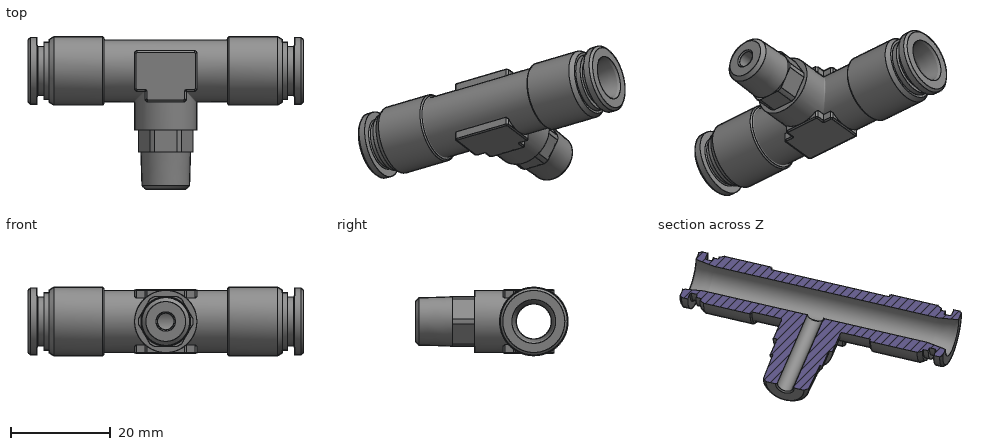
import cadquery as cq
import math

overall_length = 55.4
half_length = overall_length / 2
tube_radius = 6.25
socket_radius = 6.9
socket_inner_x = 12.4
socket_inner_chamfer = 0.3
socket_taper_start_x = 22.5
socket_outer_x = 23.45
socket_mouth_radius = 6.3
insert_radius = 5.8
insert_outer_x = 24.5

shoulder_fillet = 0.1
tee_fillet = 0.2

collar_radius = 6.73
collar_thickness = 1.8
collar_chamfer = 0.5
neck_radius = 4.95
neck_flare = 0.25

run_bore_radius = 3.5
entry_taper_radius = 4.15
entry_taper_depth = 4.1
bore_mouth_radius = 4.4
bore_mouth_chamfer = 0.5

branch_end_y = 11.9
hex_across_flats = 10.0
hex_corner_radius = 5.5
hex_end_y = 16.3
thread_root_radius = 5.0
thread_tip_radius = 4.8
thread_tip_chamfer = 0.75
nose_radius = 4.0
branch_length = 23.8
branch_bore_radius = 1.67
branch_mouth_radius = 1.95
branch_mouth_chamfer = 0.28

pad_half_height = 6.45
pad_half_width = 6.3
pad_half_depth = 4.1
stem_half_width = 4.15
stem_length = 6.2
pad_corner_chamfer = 0.4
pad_rim_width = 0.35
pad_rim_drop = 0.2


def turn_run(half_profile):
    """Revolve a (distance from centre, radius) profile, mirrored about the centre, around X."""
    mirrored = [(-x, radius) for x, radius in reversed(half_profile)]
    return cq.Workplane("XY").polyline(mirrored + half_profile).close().revolve(360, (0, 0), (1, 0))


def make_run():
    """Outer body of the run, from collar to collar."""
    collar_inner_x = half_length - collar_thickness
    return turn_run([
        (socket_inner_x, tube_radius),
        (socket_inner_x, socket_radius - socket_inner_chamfer),
        (socket_inner_x + socket_inner_chamfer, socket_radius),
        (socket_taper_start_x, socket_radius),
        (socket_outer_x, socket_mouth_radius),
        (socket_outer_x, insert_radius),
        (insert_outer_x, insert_radius),
        (insert_outer_x, neck_radius),
        (collar_inner_x - neck_flare, neck_radius),
        (collar_inner_x, neck_radius + neck_flare),
        (collar_inner_x, collar_radius),
        (half_length - collar_chamfer, collar_radius),
        (half_length, collar_radius - collar_chamfer),
        (half_length, 0),
    ])


def make_run_bore():
    """Bore through the run, tapering open at each end to take a hose."""
    return turn_run([
        (half_length - entry_taper_depth, run_bore_radius),
        (half_length - bore_mouth_chamfer, entry_taper_radius),
        (half_length, bore_mouth_radius),
        (half_length, 0),
    ])


def turn_about_y(profile):
    """Revolve a (radius, distance along -Y) profile about the branch axis."""
    points = [(radius, -distance) for radius, distance in profile]
    return cq.Workplane("XY").polyline(points).close().revolve(360, (0, 0), (0, 1))


def make_branch():
    """Plain barrel, turned-down hexagon and tapered thread."""
    barrel = turn_about_y([(0, 0), (tube_radius, 0), (tube_radius, branch_end_y), (0, branch_end_y)])
    thread = turn_about_y([
        (0, hex_end_y),
        (thread_root_radius, hex_end_y),
        (thread_tip_radius, branch_length - thread_tip_chamfer),
        (nose_radius, branch_length),
        (0, branch_length),
    ])
    hex_length = hex_end_y - branch_end_y
    hex_start = cq.Workplane("XZ", origin=(0, -branch_end_y, 0))
    across_corners = hex_across_flats / math.cos(math.pi / 6)
    hexagon = hex_start.polygon(6, across_corners).extrude(hex_length)
    hexagon = hexagon.intersect(hex_start.circle(hex_corner_radius).extrude(hex_length))
    return barrel.union(hexagon).union(thread)


def make_branch_bore():
    """Bore from the nose into the run bore, with a chamfered mouth."""
    return turn_about_y([
        (0, 0),
        (branch_bore_radius, 0),
        (branch_bore_radius, branch_length - branch_mouth_chamfer),
        (branch_mouth_radius, branch_length),
        (0, branch_length),
    ])


def make_pads():
    """T-shaped blocks standing proud of the tubes, with a shallow sloping rim."""
    wall_height = pad_half_height - pad_rim_drop
    rim_angle = math.degrees(math.atan2(pad_rim_width, pad_rim_drop))
    bar = (
        cq.Workplane("XY")
        .rect(2 * pad_half_width, 2 * pad_half_depth)
        .extrude(wall_height)
        .edges("|Z")
        .chamfer(pad_corner_chamfer)
    )
    stem = (
        cq.Workplane("XY")
        .rect(2 * stem_half_width, stem_length)
        .extrude(wall_height)
        .edges("|Z and <Y")
        .chamfer(pad_corner_chamfer)
        .translate((0, -stem_length / 2, 0))
    )
    pad = bar.union(stem).clean()
    rim = pad.faces(">Z").wires().toPending().workplane().extrude(pad_rim_drop, taper=rim_angle, combine=False)
    pad = pad.union(rim)
    return pad.union(pad.mirror("XY"))


def is_shoulder_root(edge):
    """True for the circles where the tube meets the socket shoulders."""
    at_shoulder = math.isclose(abs(edge.Center().x), socket_inner_x, abs_tol=1e-3)
    return at_shoulder and math.isclose(edge.radius(), tube_radius, abs_tol=1e-3)


def is_tee_joint(edge):
    """True for the curves where the branch barrel meets the tube, on the planes y = -|x|."""
    points = [edge.positionAt(t) for t in (0, 0.5, 1)]
    return all(math.isclose(p.y, -abs(p.x), abs_tol=1e-3) for p in points)


body = make_run()
body = body.edges("%CIRCLE").filter(is_shoulder_root).fillet(shoulder_fillet)
body = body.union(make_branch()).union(make_pads())
body = body.edges().filter(is_tee_joint).fillet(tee_fillet)
result = body.cut(make_run_bore()).cut(make_branch_bore())